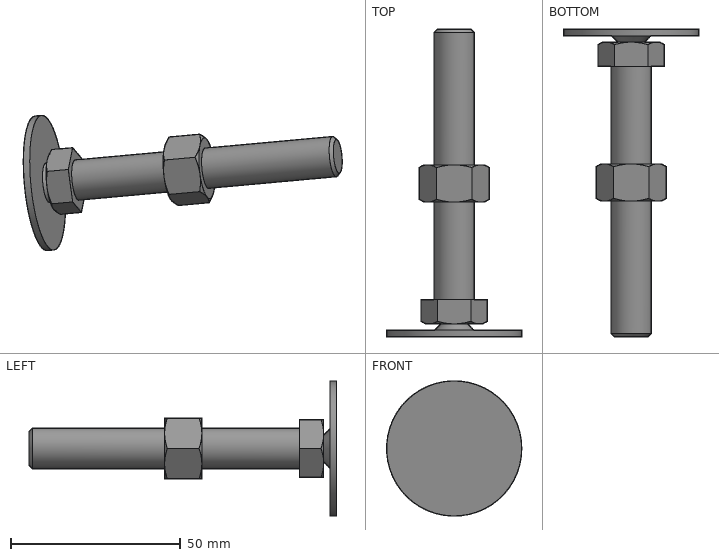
import cadquery as cq
import math

TOTAL_LENGTH = 91.0

PLATE_DIAMETER = 40.0
PLATE_THICKNESS = 2.0
NECK_BASE_RADIUS = 5.8
NECK_HEIGHT = 1.8
NECK_TOP_RADIUS = NECK_BASE_RADIUS - NECK_HEIGHT

ROD_DIAMETER = 12.0
ROD_END_CHAMFER = 1.0
HEAD_ACROSS_FLATS = 17.0
HEAD_HEIGHT = 7.2
HEAD_START = PLATE_THICKNESS + NECK_HEIGHT
HEAD_END = HEAD_START + HEAD_HEIGHT

NUT_ACROSS_FLATS = 18.0
NUT_HEIGHT = 11.0
NUT_START = 39.9

HEX_CHAMFER_ANGLE = 30.0


def cylinder_along_y(diameter, start, length):
    """Solid cylinder from Y = start towards +Y."""
    return cq.Workplane("XZ", origin=(0, start, 0)).circle(diameter / 2).extrude(-length)


def revolve_about_y(points):
    """Revolve a closed (radius, Y) outline about the Y axis."""
    return cq.Workplane("XY").polyline(points).close().revolve(360, (0, 0), (0, 1))


def chamfered_hexagon(across_flats, start, height, chamfer_far_end):
    """Hexagonal prism with corners on +X and -X, its corners turned off conically at the ends."""
    flat_radius = across_flats / 2
    corner_radius = flat_radius / math.cos(math.radians(30))
    corner_drop = (corner_radius - flat_radius) * math.tan(math.radians(HEX_CHAMFER_ANGLE))
    end = start + height

    prism = (
        cq.Workplane("XZ", origin=(0, start, 0))
        .polygon(6, 2 * corner_radius)
        .extrude(-height)
    )
    outline = [(0, start), (flat_radius, start), (corner_radius, start + corner_drop)]
    if chamfer_far_end:
        outline += [(corner_radius, end - corner_drop), (flat_radius, end)]
    else:
        outline += [(corner_radius, end)]
    outline += [(0, end)]
    return prism.intersect(revolve_about_y(outline))


def make_foot():
    """Round plate whose tapered neck carries the spindle head."""
    return revolve_about_y([
        (0, 0),
        (PLATE_DIAMETER / 2, 0),
        (PLATE_DIAMETER / 2, PLATE_THICKNESS),
        (NECK_BASE_RADIUS, PLATE_THICKNESS),
        (NECK_TOP_RADIUS, HEAD_START),
        (0, HEAD_START),
    ])


def make_spindle():
    """Hexagonal head, chamfered on the foot side only, with the rod rising from it."""
    head = chamfered_hexagon(HEAD_ACROSS_FLATS, HEAD_START, HEAD_HEIGHT, chamfer_far_end=False)
    rod = cylinder_along_y(ROD_DIAMETER, HEAD_END, TOTAL_LENGTH - HEAD_END)
    rod = rod.faces(">Y").chamfer(ROD_END_CHAMFER)
    return head.union(rod)


def make_nut():
    """Hexagonal nut, chamfered at both ends, with a bore that fits the rod."""
    blank = chamfered_hexagon(NUT_ACROSS_FLATS, NUT_START, NUT_HEIGHT, chamfer_far_end=True)
    return blank.cut(cylinder_along_y(ROD_DIAMETER, NUT_START, NUT_HEIGHT))


foot = make_foot()
spindle = make_spindle()
nut = make_nut()

result = cq.Compound.makeCompound([foot.val(), spindle.val(), nut.val()])